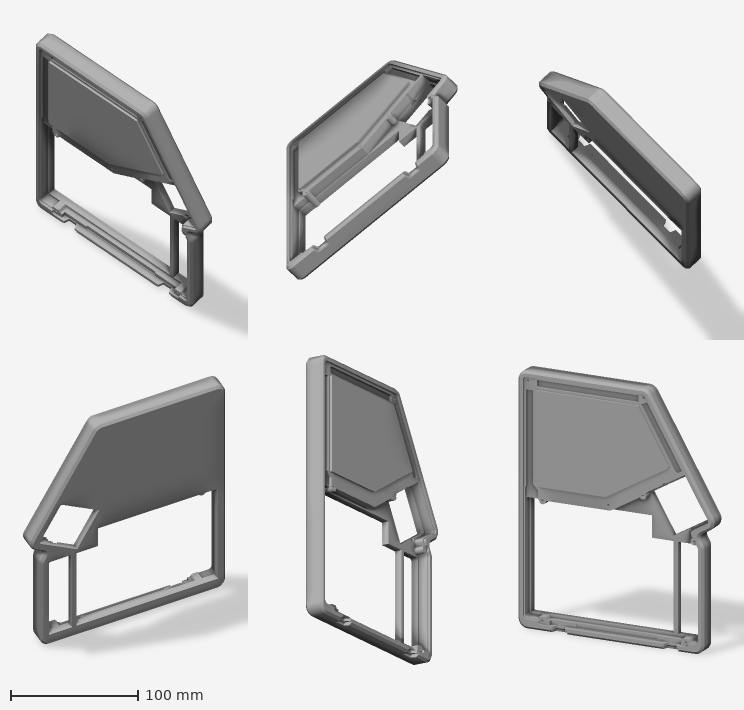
import cadquery as cq
import math

WIDTH = 171.3
DEPTH = 16.2
HEIGHT = 213.6

BODY_WIDTH = 162.4
TOP_EDGE_X = 113.5
WING_LENGTH = 19.7
CORNER_R = 8.1
INNER_CORNER_R = 4.0
INNER_WALL_R = 2.5
EDGE_CHAMFER = 2.0

TILT = math.radians(30)
ALONG = (math.sin(TILT), -math.cos(TILT))
INWARD = (-math.cos(TILT), -math.sin(TILT))

SEAT_Y = 2.0
SLOT_Y = 4.5
GROOVE_Y = 5.3
GROOVE_MID_Y = 6.5
WEB_Y = 10.0
SNAP_Y = 12.0

SEAT_INSET = 4.7
CAVITY_INSET = 5.5
SEAT_BOTTOM_Z = 8.1
CAVITY_BOTTOM_Z = 9.0

PLATE_BOTTOM_Z = 107.9
PLATE_BEND_X = 80.3
PLATE_END_X = 111.5
PLATE_GAP = 2.0
SLOT_INSET = 6.6
SLOT_WIDTH = 6.0
TOP_SLOT_X = (16.0, 104.9)
SLANTED_SLOT = (9.0, 70.0)
LEFT_SLOT_TOP_Z = 197.8
LEFT_SLOT_FLARE_Z = 120.0
LEFT_SLOT_FOOT_X = 17.0
LEFT_SLOT_STEP_Z = 117.0
PLATEAU_INSET = 14.7
PLATEAU_BOTTOM_Z = 119.2
PLATEAU_BEND_X = 77.0
PLATEAU_LENGTH = 63.5
SMALL_R = 1.0

OPENING_X = 7.0
OPENING_BOTTOM_Z = 11.1
OPENING_TOP_Z = 106.4
OPENING_STEP_X = 112.5
OPENING_STEP_Z = 87.8
BAR_LEFT_X = 131.5
BAR_RIGHT_X = 135.2
SIDE_OPENING_RIGHT_X = 155.5
SQUARE_SIDE = 38.7
SQUARE_INSET = 7.3
SQUARE_START = 75.6
SNAP_R = 2.5
SNAP_INSET = 26.7
OPENING_R = 1.7

HOLE_R = 0.96
HOLE_DEPTH = 8.5
BOSS_R = 3.0
TAB_HOLE = (21.0, 107.7)
PLATE_HOLES = [(8.3, 205.3), (109.2, 205.3), (78.5, 112.2)]
PLATE_BOSS = (108.5, 124.1)
WING_BOSS = (153.2, 92.7)
BOTTOM_BOSSES = [(20.7, 8.1), (146.1, 8.1)]
BOSS_ROOT = 8.3
BOSS_TOP = 5.3

GROOVE_BOTTOM_Z = 5.1
GROOVE_SEAT_X = (18.4, 148.9)
GROOVE_SEAT_R = 2.1
GROOVE_X = (27.1, 142.0)
GROOVE_MID_X = (49.1, 119.8)
GROOVE_MID_BOTTOM_Z = 5.5
NOTCH_CENTRES_X = [36.0, 133.3]
NOTCH_FLOOR = 7.3
NOTCH_MOUTH = 11.1
NOTCH_FLARE = 1.7
NOTCH_FLARE_Z = 3.0
NOTCH_FLARE_DROP = 1.3
NOTCH_Y = 4.7


def step(point, distance, direction):
    return (point[0] + distance * direction[0], point[1] + distance * direction[1])


def wing_point(along, inset):
    """Point at a distance down the slanted side and inward from it."""
    return step(step((TOP_EDGE_X, HEIGHT), along, ALONG), inset, INWARD)


def layer(y):
    return cq.Workplane("XZ", origin=(0, y, 0))


def prism(points, y_front, y_back):
    return layer(y_front).polyline(points).close().extrude(y_front - y_back)


def box(x_range, z_range, y_front, y_back):
    (x0, x1), (z0, z1) = x_range, z_range
    return prism([(x0, z0), (x1, z0), (x1, z1), (x0, z1)], y_front, y_back)


def cylinder(centre, radius, y_front, y_back):
    return layer(y_front).center(*centre).circle(radius).extrude(y_front - y_back)


def wing_corners():
    """Sharp corners of the wing: its tip, the inner corner, and the top of the straight side."""
    tip_x = WIDTH + CORNER_R * (math.cos(TILT) - math.sin(TILT))
    tip = wing_point((tip_x - TOP_EDGE_X) / ALONG[0], 0)
    inner = step(tip, WING_LENGTH, INWARD)
    side_top = step(inner, (BODY_WIDTH - inner[0]) / ALONG[0], ALONG)
    return tip, inner, side_top


def outline_prism(bottom_z, y_front, y_back):
    """Outer outline with its bottom edge at a chosen height, rounded except at the inner corner."""
    tip, inner, side_top = wing_corners()
    points = [
        (0, bottom_z), (0, HEIGHT), (TOP_EDGE_X, HEIGHT), tip, inner, side_top, (BODY_WIDTH, bottom_z),
    ]
    solid = prism(points, y_front, y_back)
    inner_edge = solid.edges("|Y").edges(near_inner_corner()).val()
    other_edges = [edge for edge in solid.edges("|Y").vals() if not edge.isSame(inner_edge)]
    return solid.newObject(other_edges).fillet(CORNER_R)


def near_inner_corner():
    inner_x, inner_z = wing_corners()[1]
    return cq.selectors.NearestToPointSelector((inner_x, 0, inner_z))


def round_inner_corner(solid, radius):
    return solid.edges("|Y").edges(near_inner_corner()).fillet(radius)


def inner_prism(inset, bottom_z, y_front, y_back):
    """Outline moved inward by the rim wall, with its own bottom height."""
    outer = outline_prism(bottom_z - inset, y_front, y_back)
    rim = outer.faces("<Y").wires().toPending()
    inner = rim.offset2D(-inset, "intersection").extrude(y_front - y_back, combine=False)
    return round_inner_corner(inner, INNER_WALL_R)


def plate_prism():
    """Upper plate with its screw bosses, standing forward of the web."""
    bend = (PLATE_BEND_X, PLATE_BOTTOM_Z)
    slope = math.tan(TILT)
    lower_end = (PLATE_END_X, PLATE_BOTTOM_Z + (PLATE_END_X - PLATE_BEND_X) * slope)
    edge = wing_point(SQUARE_START - PLATE_GAP, 0)
    upper_end = (PLATE_END_X, edge[1] - (edge[0] - PLATE_END_X) * slope)
    outer_end = (WIDTH, edge[1] + (WIDTH - edge[0]) * slope)
    points = [
        (0, PLATE_BOTTOM_Z), bend, lower_end, upper_end, outer_end, (WIDTH, HEIGHT), (0, HEIGHT),
    ]
    plate = prism(points, SEAT_Y, DEPTH)
    for centre in (PLATE_BOSS, TAB_HOLE):
        plate = plate.union(cylinder(centre, BOSS_R, SEAT_Y, DEPTH))
    return plate


def bottom_boss(x):
    """Flat-topped boss that widens towards the bottom wall."""
    profile = [
        (x - BOSS_ROOT / 2, CAVITY_BOTTOM_Z), (x + BOSS_ROOT / 2, CAVITY_BOTTOM_Z),
        (x + BOSS_TOP / 2, OPENING_BOTTOM_Z), (x - BOSS_TOP / 2, OPENING_BOTTOM_Z),
    ]
    return prism(profile, SEAT_Y, WEB_Y)


def cavity():
    hollow = inner_prism(CAVITY_INSET, CAVITY_BOTTOM_Z, SEAT_Y, WEB_Y)
    hollow = hollow.cut(plate_prism())
    hollow = hollow.cut(cylinder(WING_BOSS, BOSS_R, SEAT_Y, WEB_Y))
    for x, _ in BOTTOM_BOSSES:
        hollow = hollow.cut(bottom_boss(x))
    return hollow


def plateau():
    """Raised panel in the middle of the plate, level with the rim."""
    top_z = HEIGHT - PLATEAU_INSET
    top_right = wing_point(PLATEAU_INSET * (1 + INWARD[1]) / -ALONG[1], PLATEAU_INSET)
    right = wing_point(PLATEAU_LENGTH, PLATEAU_INSET)
    points = [
        (PLATEAU_INSET, PLATEAU_BOTTOM_Z), (PLATEAU_INSET, top_z), top_right, right,
        (PLATEAU_BEND_X, PLATEAU_BOTTOM_Z),
    ]
    return prism(points, 0, SEAT_Y).edges("|Y").fillet(SMALL_R)


def plate_slots():
    far = SLOT_INSET + SLOT_WIDTH
    top = box(TOP_SLOT_X, (HEIGHT - far, HEIGHT - SLOT_INSET), SEAT_Y, SLOT_Y)
    start, end = SLANTED_SLOT
    slanted = prism(
        [wing_point(start, SLOT_INSET), wing_point(end, SLOT_INSET),
         wing_point(end, far), wing_point(start, far)],
        SEAT_Y, SLOT_Y)
    left = prism(
        [(SLOT_INSET, LEFT_SLOT_TOP_Z), (far, LEFT_SLOT_TOP_Z), (far, LEFT_SLOT_FLARE_Z),
         (LEFT_SLOT_FOOT_X, LEFT_SLOT_FLARE_Z - LEFT_SLOT_FOOT_X + far), (LEFT_SLOT_FOOT_X, PLATE_BOTTOM_Z),
         (CAVITY_INSET, PLATE_BOTTOM_Z), (CAVITY_INSET, LEFT_SLOT_STEP_Z), (SLOT_INSET, LEFT_SLOT_STEP_Z)],
        SEAT_Y, SLOT_Y)
    top = top.edges("|Y").fillet(SMALL_R)
    slanted = slanted.edges("|Y").fillet(SMALL_R)
    return top.union(slanted).union(left)


def openings():
    main = prism(
        [(OPENING_X, OPENING_BOTTOM_Z), (OPENING_X, OPENING_TOP_Z), (OPENING_STEP_X, OPENING_TOP_Z),
         (OPENING_STEP_X, OPENING_STEP_Z), (BAR_LEFT_X, OPENING_STEP_Z), (BAR_LEFT_X, OPENING_BOTTOM_Z)],
        WEB_Y, DEPTH)
    main = main.cut(cylinder(TAB_HOLE, BOSS_R, WEB_Y, DEPTH))
    side = box((BAR_RIGHT_X, SIDE_OPENING_RIGHT_X), (OPENING_BOTTOM_Z, OPENING_STEP_Z), WEB_Y, DEPTH)
    side = side.edges("|Y").edges(">Z").fillet(OPENING_R)
    end = SQUARE_START + SQUARE_SIDE
    far = SQUARE_INSET + SQUARE_SIDE
    square = prism(
        [wing_point(SQUARE_START, SQUARE_INSET), wing_point(end, SQUARE_INSET),
         wing_point(end, far), wing_point(SQUARE_START, far)],
        SEAT_Y, DEPTH)
    square = square.edges("|Y").edges(">X or >Z").fillet(OPENING_R)
    snaps = [wing_point(along, SNAP_INSET) for along in (SQUARE_START, end)]
    for centre in snaps:
        square = square.union(cylinder(centre, SNAP_R, SEAT_Y, SNAP_Y))
    return main.union(side).union(square)


def bottom_groove():
    """Seat around the bottom bosses and the wing boss, with the deeper groove between the bottom bosses."""
    seat = box(GROOVE_SEAT_X, (GROOVE_BOTTOM_Z, CAVITY_BOTTOM_Z), 0, SEAT_Y)
    seat = seat.edges("|Y and <Z").fillet(GROOVE_SEAT_R)
    seat = seat.union(cylinder(WING_BOSS, BOSS_R, 0, SEAT_Y))
    groove = box(GROOVE_X, (GROOVE_BOTTOM_Z, CAVITY_BOTTOM_Z), 0, GROOVE_Y)
    middle = box(GROOVE_MID_X, (GROOVE_MID_BOTTOM_Z, CAVITY_BOTTOM_Z), 0, GROOVE_MID_Y)
    return seat.union(groove).union(middle)


def notch(centre_x):
    """Notch through the bottom rim, flared where it meets the underside."""
    def channel(floor, mouth, depth, top_z):
        profile = [
            (centre_x - mouth / 2, 0), (centre_x + mouth / 2, 0),
            (centre_x + floor / 2, depth), (centre_x - floor / 2, depth),
        ]
        return cq.Workplane("XY").polyline(profile).close().extrude(top_z)

    inner = channel(NOTCH_FLOOR, NOTCH_MOUTH, NOTCH_Y, GROOVE_BOTTOM_Z)
    flare = channel(NOTCH_FLOOR + 2 * NOTCH_FLARE, NOTCH_MOUTH + 2 * NOTCH_FLARE,
                    NOTCH_Y + NOTCH_FLARE_DROP, NOTCH_FLARE_Z)
    flare = flare.faces(">Y").edges(">Z").chamfer(NOTCH_FLARE_DROP)
    return inner.union(flare)


result = round_inner_corner(outline_prism(0, 0, DEPTH), INNER_CORNER_R)
result = result.faces("<Y or >Y").chamfer(EDGE_CHAMFER)
result = result.cut(inner_prism(SEAT_INSET, SEAT_BOTTOM_Z, 0, SEAT_Y))
result = result.cut(cavity())
result = result.union(plateau())
result = result.cut(plate_slots())
result = result.cut(openings())
result = result.cut(bottom_groove())
for notch_x in NOTCH_CENTRES_X:
    result = result.cut(notch(notch_x))
for centre in PLATE_HOLES + [TAB_HOLE, PLATE_BOSS, WING_BOSS] + BOTTOM_BOSSES:
    result = result.cut(cylinder(centre, HOLE_R, SEAT_Y, SEAT_Y + HOLE_DEPTH))